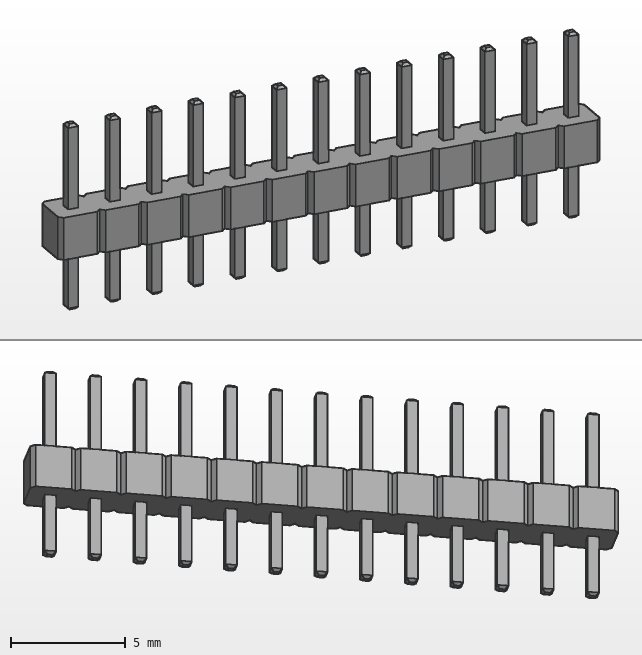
import cadquery as cq

pin_count = 13
row_length = 26.0
body_width = 2.0
body_height = 2.0
corner_cut = 0.2

pin_width = 0.5
pin_length = 8.8
pin_above_body = 3.98
tip_chamfer = 0.125

pitch = row_length / pin_count
first_pin_y = -row_length / 2 + pitch / 2
pin_positions = [(0, first_pin_y + i * pitch) for i in range(pin_count)]
pin_bottom = body_height + pin_above_body - pin_length


def make_body():
    """Insulator block, one cell per pin, with V notches between the cells."""
    block = cq.Workplane("XY").box(body_width, row_length, body_height, centered=(True, True, False))
    notch_centres = [
        (side * body_width / 2, -row_length / 2 + i * pitch)
        for side in (-1, 1)
        for i in range(pin_count + 1)
    ]
    notches = (
        cq.Workplane("XY")
        .pushPoints(notch_centres)
        .polygon(4, 2 * corner_cut)
        .extrude(body_height)
    )
    return block.cut(notches)


def make_pins():
    """Square pins through the body, with both tips chamfered all round."""
    return (
        cq.Workplane("XY")
        .workplane(offset=pin_bottom)
        .pushPoints(pin_positions)
        .rect(pin_width, pin_width)
        .extrude(pin_length)
        .faces("<Z or >Z")
        .chamfer(tip_chamfer)
    )


result = make_body().union(make_pins())